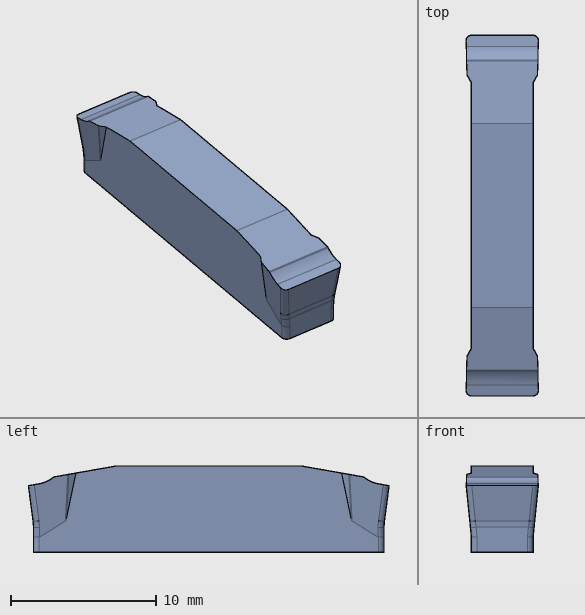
import cadquery as cq
import math

LENGTH = 24.88
HEIGHT = 5.97
BODY_WIDTH = 4.28
HALF_LENGTH = LENGTH / 2
HALF_BODY = BODY_WIDTH / 2

EDGE_HEIGHT = 4.6
RAKE_ANGLE = 10.0
RAKE_LENGTH = 0.77
GROOVE_END = 1.72
GROOVE_EXIT_ANGLE = 40.0
CREST_END = 1.8
FLAT_START = 6.1

BASE_INSET = 0.35
RELIEF_BLEND_TOP = 2.16
RELIEF_BLEND_BOTTOM = 1.75
CORNER_RADIUS = 0.4

SIDE_START_INSET = 0.75
SIDE_START_HEIGHT = 1.05
SIDE_DRAFT = math.tan(math.radians(5.4))
SIDE_BACK_TAPER = math.tan(math.radians(3.3))

SHOULDER_INSET = 3.28
SHOULDER_HEIGHT = 5.47
SHOULDER_LEAN = math.tan(math.radians(11.8))
SHOULDER_SLOPE = math.tan(math.radians(30.0))
SHOULDER_BLEND = 0.15
SHOULDER_DEPTH = 0.75

BLANK_WIDTH = 7.46
END_OVERRUN = 0.25


def end_y(inset):
    """Y of a point lying this far inward from the cutting edge at -Y."""
    return inset - HALF_LENGTH


def half_profile(width):
    """Half-length side profile extruded symmetrically about X = 0."""
    rake = math.tan(math.radians(RAKE_ANGLE))
    exit_angle = math.radians(GROOVE_EXIT_ANGLE)
    rake_end_height = EDGE_HEIGHT + RAKE_LENGTH * rake
    chord_angle = (math.radians(RAKE_ANGLE) + exit_angle) / 2
    groove_height = rake_end_height + (GROOVE_END - RAKE_LENGTH) * math.tan(chord_angle)
    crest_height = HEIGHT - (FLAT_START - CREST_END) * rake

    blend_middle = (RELIEF_BLEND_TOP + RELIEF_BLEND_BOTTOM) / 2
    relief_slope = BASE_INSET / (EDGE_HEIGHT - blend_middle)
    relief_inset = (EDGE_HEIGHT - RELIEF_BLEND_TOP) * relief_slope

    return (
        cq.Workplane("YZ")
        .moveTo(0, 0)
        .lineTo(end_y(BASE_INSET), 0)
        .lineTo(end_y(BASE_INSET), RELIEF_BLEND_BOTTOM)
        .tangentArcPoint((end_y(relief_inset), RELIEF_BLEND_TOP), relative=False)
        .lineTo(end_y(0), EDGE_HEIGHT)
        .lineTo(end_y(RAKE_LENGTH), rake_end_height)
        .tangentArcPoint((end_y(GROOVE_END), groove_height), relative=False)
        .tangentArcPoint((end_y(CREST_END), crest_height), relative=False)
        .lineTo(end_y(FLAT_START), HEIGHT)
        .lineTo(0, HEIGHT)
        .close()
        .extrude(width / 2, both=True)
    )


def head_outline(z):
    """Plan section of the head at height z, as a closed wire."""
    def side_x(inset):
        return (HALF_BODY + SIDE_DRAFT * (z - SIDE_START_HEIGHT)
                - SIDE_BACK_TAPER * (inset - SIDE_START_INSET))

    shoulder_foot = SHOULDER_INSET - SHOULDER_LEAN * (SHOULDER_HEIGHT - z)
    overhang = side_x(shoulder_foot) - HALF_BODY
    corner = shoulder_foot - overhang / (SHOULDER_SLOPE - SIDE_BACK_TAPER)
    shoulder_end = shoulder_foot + SHOULDER_DEPTH / SHOULDER_SLOPE

    right_side = [
        (side_x(-END_OVERRUN), end_y(-END_OVERRUN)),
        (side_x(corner), end_y(corner)),
        (HALF_BODY - SHOULDER_DEPTH, end_y(shoulder_end)),
    ]
    left_side = [(-x, y) for x, y in reversed(right_side)]
    return cq.Wire.makePolygon([cq.Vector(x, y, z) for x, y in right_side + left_side], close=True)


def round_end_corners(solid):
    """Round the two upright corners at the -Y end."""
    search_inset = 0.35
    y_min = end_y(-END_OVERRUN)
    y_max = end_y(search_inset)
    x_min = HALF_BODY - SHOULDER_DEPTH
    right = cq.selectors.BoxSelector((x_min, y_min, 0), (BLANK_WIDTH, y_max, HEIGHT))
    left = cq.selectors.BoxSelector((-BLANK_WIDTH, y_min, 0), (-x_min, y_max, HEIGHT))
    return solid.edges(right + left).fillet(CORNER_RADIUS)


def make_head():
    """Flared cutting head at the -Y end."""
    flare = cq.Workplane(cq.Solid.makeLoft([head_outline(0), head_outline(HEIGHT)], True))
    quarter_height = HEIGHT / 4
    shoulder_zone = cq.selectors.BoxSelector(
        (-BLANK_WIDTH, end_y(SIDE_START_INSET), quarter_height),
        (BLANK_WIDTH, end_y(SHOULDER_INSET), HEIGHT - quarter_height),
    )
    flare = flare.edges(shoulder_zone).fillet(SHOULDER_BLEND)
    return round_end_corners(half_profile(BLANK_WIDTH).intersect(flare))


half = round_end_corners(half_profile(BODY_WIDTH)).union(make_head())
result = half.union(half.mirror("XZ")).clean()